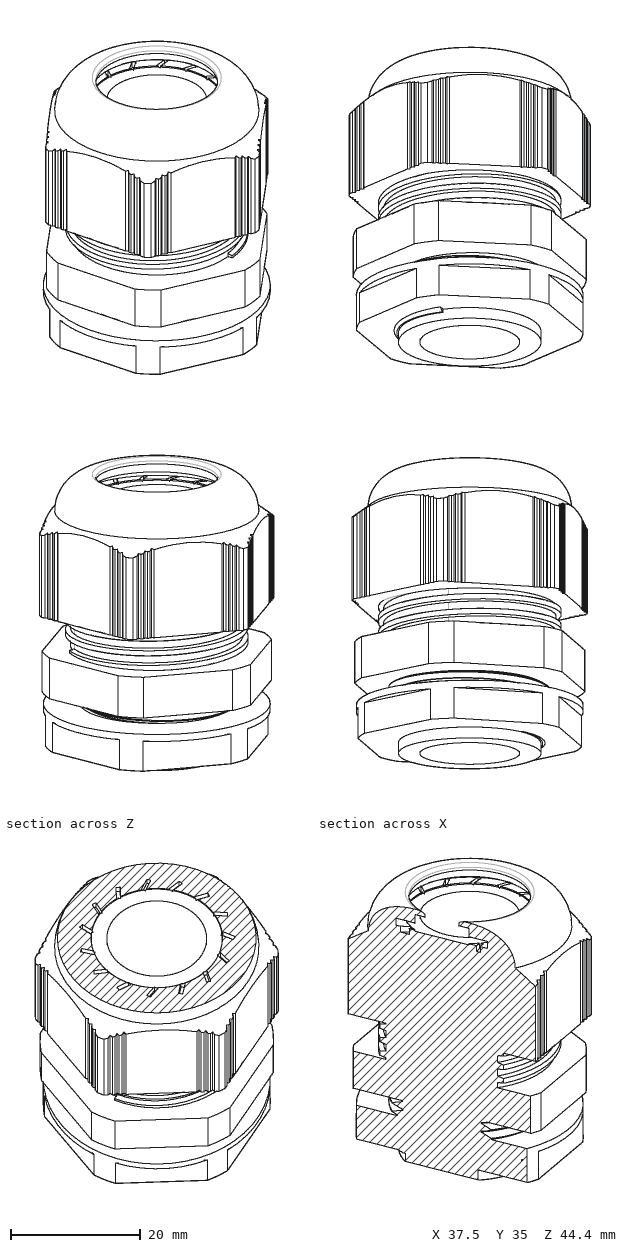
import cadquery as cq
import math


LOCK_NUT_BOTTOM = 1.73
FLANGE_BOTTOM = 6.56
LOCK_NUT_TOP = 7.68
BODY_HEX_BOTTOM = 10.43
BODY_HEX_TOP = 16.96
CAP_BOTTOM = 23.16
CAP_CONE_BOTTOM = 36.25
DOME_BOTTOM = 38.55
TOTAL_HEIGHT = 44.37

BORE_RADIUS = 7.7
SPIGOT_RADIUS = 11.0
FLANGE_RADIUS = 17.5
LOCK_NUT_FLATS = 32.0
BODY_HEX_FLATS = 33.0
BODY_HEX_CORNER_RADIUS = 18.0
CAP_FLATS = 33.0
CAP_CORNER_RADIUS = 18.75
DOME_RADIUS = 15.75

MOUNT_PITCH = 1.5
MOUNT_CREST_RADIUS = 12.5
MOUNT_ROOT_RADIUS = 11.3
MOUNT_CREST_HALF = 0.08
MOUNT_BASE_HALF = 0.74
MOUNT_START_Z = 1.97
MOUNT_START_ANGLE = 180.0
MOUNT_LOWER_TURNS = 0.75
MOUNT_SKIPPED_TURNS = 3
MOUNT_UPPER_TURNS = 3.5

CAP_THREAD_PITCH = 2.35
CAP_THREAD_CREST_RADIUS = 14.1
CAP_THREAD_ROOT_RADIUS = 13.3
CAP_THREAD_CREST_HALF = 0.42
CAP_THREAD_BASE_HALF = 0.62
CAP_THREAD_START_Z = 16.9
CAP_THREAD_START_ANGLE = 0.0
CAP_THREAD_TURNS = 3.4

THREAD_SINK = 0.05
THREAD_EMBED = 0.5

GROOVE_OFFSETS = (5.8, 6.85, 7.9)
GROOVE_HALF_WIDTH = 0.32
GROOVE_DEPTH = 0.3

OPENING_RADIUS = 10.0
LIP_RADIUS = 9.4
LIP_ROUND_DEPTH = 0.55
LIP_DEPTH = 1.03
RELIEF_RADIUS = 10.1
RELIEF_DEPTH = 2.5
CAVITY_RADIUS = 12.0
FINGER_INNER_RADIUS = 10.1
FINGER_TOP_DEPTH = 3.63
SEAL_DEPTH = 3.84

FINGER_COUNT = 15
FIRST_SLOT_ANGLE = 3.0
SLOT_TILT = -33.0
SLOT_WIDTH = 0.6
SLOT_DEPTH = 1.0
SLOT_REACH = 2.1


def cylinder(radius, bottom, top):
    return cq.Workplane("XY").workplane(offset=bottom).circle(radius).extrude(top - bottom)


def hexagon(flats, corner_radius, bottom, top):
    """Hexagonal prism with corners on the X axis, rounded off to a circle."""
    across_corners = flats / math.cos(math.radians(30))
    prism = cq.Workplane("XY").workplane(offset=bottom).polygon(6, across_corners).extrude(top - bottom)
    return prism.intersect(cylinder(corner_radius, bottom, top))


def thread_ridge(pitch, turns, start_z, start_angle, root, crest, base_half, crest_half, left_handed):
    """Helical ridge with a trapezoid section; its start angle is measured from +X."""
    foot = root - THREAD_SINK
    helix = cq.Wire.makeHelix(pitch, pitch * turns, foot, lefthand=left_handed)
    section = [
        (foot - THREAD_EMBED, -base_half),
        (foot, -base_half),
        (crest, -crest_half),
        (crest, crest_half),
        (foot, base_half),
        (foot - THREAD_EMBED, base_half),
    ]
    ridge = cq.Workplane("XZ").polyline(section).close().sweep(cq.Workplane(helix), isFrenet=True)
    return ridge.rotate((0, 0, 0), (0, 0, 1), start_angle).translate((0, 0, start_z))


def lock_nut():
    nut = hexagon(LOCK_NUT_FLATS, FLANGE_RADIUS, LOCK_NUT_BOTTOM, FLANGE_BOTTOM)
    return nut.union(cylinder(FLANGE_RADIUS, FLANGE_BOTTOM, LOCK_NUT_TOP))


def mount_ridge(start_z, turns):
    return thread_ridge(
        MOUNT_PITCH, turns, start_z, MOUNT_START_ANGLE, MOUNT_ROOT_RADIUS, MOUNT_CREST_RADIUS,
        MOUNT_BASE_HALF, MOUNT_CREST_HALF, left_handed=True,
    )


def body():
    spigot = cylinder(SPIGOT_RADIUS, 0, LOCK_NUT_TOP)
    mount_core = cylinder(MOUNT_ROOT_RADIUS, FLANGE_BOTTOM, BODY_HEX_TOP)
    hex_collar = hexagon(BODY_HEX_FLATS, BODY_HEX_CORNER_RADIUS, BODY_HEX_BOTTOM, BODY_HEX_TOP)
    cap_core = cylinder(CAP_THREAD_ROOT_RADIUS, BODY_HEX_BOTTOM, CAP_CONE_BOTTOM)
    cap_ridge = thread_ridge(
        CAP_THREAD_PITCH, CAP_THREAD_TURNS, CAP_THREAD_START_Z, CAP_THREAD_START_ANGLE,
        CAP_THREAD_ROOT_RADIUS, CAP_THREAD_CREST_RADIUS,
        CAP_THREAD_BASE_HALF, CAP_THREAD_CREST_HALF, left_handed=False,
    )
    lower = spigot.union(mount_core).union(lock_nut()).union(hex_collar)
    upper_start_z = MOUNT_START_Z + MOUNT_SKIPPED_TURNS * MOUNT_PITCH
    lower = lower.union(mount_ridge(upper_start_z, MOUNT_UPPER_TURNS))
    lower = lower.union(mount_ridge(MOUNT_START_Z, MOUNT_LOWER_TURNS))
    return lower.union(cap_core.union(cap_ridge))


def grip_grooves():
    """V grooves along Z on every flat of the cap, a group beside each corner."""
    flat = CAP_FLATS / 2
    grooves = cq.Workplane("XY")
    for side in range(6):
        for offset in GROOVE_OFFSETS:
            for middle in (-offset, offset):
                groove = (
                    cq.Workplane("XY")
                    .workplane(offset=CAP_BOTTOM)
                    .moveTo(middle - GROOVE_HALF_WIDTH, flat)
                    .lineTo(middle, flat - GROOVE_DEPTH)
                    .lineTo(middle + GROOVE_HALF_WIDTH, flat)
                    .close()
                    .extrude(TOTAL_HEIGHT - CAP_BOTTOM)
                    .rotate((0, 0, 0), (0, 0, 1), 60 * side)
                )
                grooves.add(groove)
    return grooves.combine()


def cap_opening():
    """Turned recess from the top of the cap down to the face of the seal."""
    top = TOTAL_HEIGHT
    round_width = OPENING_RADIUS - LIP_RADIUS
    round_middle = (
        OPENING_RADIUS - round_width * math.sin(math.radians(45)),
        top - LIP_ROUND_DEPTH * (1 - math.cos(math.radians(45))),
    )
    return (
        cq.Workplane("XZ")
        .moveTo(0, top)
        .lineTo(OPENING_RADIUS, top)
        .threePointArc(round_middle, (LIP_RADIUS, top - LIP_ROUND_DEPTH))
        .lineTo(LIP_RADIUS, top - LIP_DEPTH)
        .lineTo(RELIEF_RADIUS, top - LIP_DEPTH)
        .lineTo(RELIEF_RADIUS, top - RELIEF_DEPTH)
        .lineTo(CAVITY_RADIUS, top - RELIEF_DEPTH)
        .lineTo(CAVITY_RADIUS, top - FINGER_TOP_DEPTH)
        .lineTo(FINGER_INNER_RADIUS, top - FINGER_TOP_DEPTH)
        .lineTo(FINGER_INNER_RADIUS, top - SEAL_DEPTH)
        .lineTo(0, top - SEAL_DEPTH)
        .close()
        .revolve(360, (0, 0), (0, 1))
    )


def finger_slots():
    slot_bottom = TOTAL_HEIGHT - FINGER_TOP_DEPTH - SLOT_DEPTH
    slots = cq.Workplane("XY")
    for index in range(FINGER_COUNT):
        slot = (
            cq.Workplane("XY")
            .box(SLOT_REACH, SLOT_WIDTH, SLOT_DEPTH, centered=(False, True, False))
            .rotate((0, 0, 0), (0, 0, 1), SLOT_TILT)
            .translate((FINGER_INNER_RADIUS, 0, slot_bottom))
            .rotate((0, 0, 0), (0, 0, 1), FIRST_SLOT_ANGLE + index * 360 / FINGER_COUNT)
        )
        slots.add(slot)
    return slots.combine()


def cap():
    dome_round = TOTAL_HEIGHT - DOME_BOTTOM
    dome_centre = DOME_RADIUS - dome_round
    dome_middle = (
        dome_centre + dome_round * math.cos(math.radians(45)),
        DOME_BOTTOM + dome_round * math.sin(math.radians(45)),
    )
    turned = (
        cq.Workplane("XZ")
        .moveTo(0, CAP_BOTTOM)
        .lineTo(CAP_CORNER_RADIUS, CAP_BOTTOM)
        .lineTo(CAP_CORNER_RADIUS, CAP_CONE_BOTTOM)
        .lineTo(DOME_RADIUS, DOME_BOTTOM)
        .threePointArc(dome_middle, (dome_centre, TOTAL_HEIGHT))
        .lineTo(0, TOTAL_HEIGHT)
        .close()
        .revolve(360, (0, 0), (0, 1))
    )
    outer = turned.intersect(hexagon(CAP_FLATS, CAP_CORNER_RADIUS, CAP_BOTTOM, TOTAL_HEIGHT))
    return outer.cut(grip_grooves())


gland = body().union(cap())
gland = gland.cut(cap_opening()).cut(finger_slots())
result = gland.cut(cylinder(BORE_RADIUS, 0, TOTAL_HEIGHT))